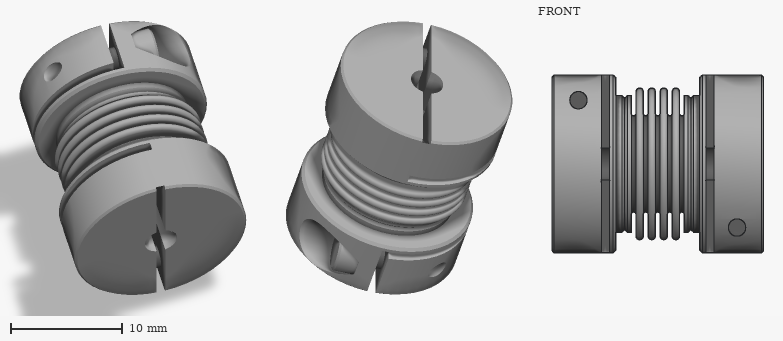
import cadquery as cq

length = 19.0
outer_radius = 8.0
bore_radius = 1.5
middle_x = length / 2
margin = 0.95

hub_length = 5.74
outer_chamfer = 0.19
inner_chamfer = 0.25
clamp_slot_width = 0.8
cross_slot_x = 4.43
cross_slot_width = 0.76
saw_radius = 19.95
saw_center_x = -14.14
saw_center_z = 5.78

screw_x = 2.38
screw_z = 5.72
head_radius = 1.94
head_chamfer = 0.2
head_seat_y = 2.0
head_end_y = 3.99
counterbore_radius = 2.17
shank_radius = 0.99
thread_radius = 0.78
screw_tip_y = -2.85

collar_radius = 6.15
groove_start_x = 6.27
groove_width = 0.51
groove_depth = 0.25
ridge_count = 4
ridge_pitch = 1.08
ridge_width = 0.66
ridge_radius = 6.82
root_radius = 4.33


def cylinder_along_y(radius, start_y, end_y):
    """Cylinder on the screw axis between two Y positions."""
    plane = cq.Plane(origin=(screw_x, start_y, screw_z), xDir=(1, 0, 0), normal=(0, 1, 0))
    return cq.Workplane(plane).circle(radius).extrude(end_y - start_y)


def clamp_slot():
    """Slot along the hub, cut by a round saw that leaves a web between the jaws."""
    half_width = clamp_slot_width / 2
    saw_disc = cq.Workplane("XZ").center(saw_center_x, saw_center_z).circle(saw_radius)
    saw = saw_disc.extrude(half_width, both=True)
    slot_length = cross_slot_x + cross_slot_width / 2
    size = 2 * (outer_radius + margin)
    limit = cq.Workplane("XY").box(size, size, size).translate((slot_length - size / 2, 0, 0))
    return saw.intersect(limit)


def cross_slot():
    """Slot that frees the -Y jaw from the hub's inner flange."""
    depth = outer_radius + margin + clamp_slot_width / 2
    height = 2 * (outer_radius + margin)
    return (
        cq.Workplane("XY")
        .box(cross_slot_width, depth, height, centered=(False, False, True))
        .translate((cross_slot_x, clamp_slot_width / 2 - depth, 0))
    )


def clamp_screw():
    """Cap screw seated in the +Y jaw and threaded into the -Y jaw."""
    head = cylinder_along_y(head_radius, head_seat_y, head_end_y).faces(">Y").chamfer(head_chamfer)
    shank = cylinder_along_y(shank_radius, -clamp_slot_width / 2, head_seat_y)
    thread = cylinder_along_y(thread_radius, screw_tip_y, -clamp_slot_width / 2)
    return head.union(shank).union(thread)


def clamp_hub():
    """Hub at the x = 0 end, with its screw in place."""
    hub = cq.Workplane("YZ").circle(outer_radius).extrude(hub_length)
    hub = hub.faces("<X").chamfer(outer_chamfer).faces(">X").chamfer(inner_chamfer)
    hub = hub.cut(cq.Workplane("YZ").circle(bore_radius).extrude(hub_length))
    hub = hub.cut(clamp_slot()).cut(cross_slot())
    hub = hub.cut(cylinder_along_y(counterbore_radius, head_seat_y, outer_radius + margin))
    hub = hub.cut(cylinder_along_y(thread_radius, -outer_radius - margin, 0))
    return hub.union(clamp_screw())


def bellows():
    """Revolved bellows between two grooved collars, bored through."""
    root_width = ridge_pitch - ridge_width
    root_round = root_width / 2
    ridge_round = ridge_width / 2
    collar_end_x = middle_x - (ridge_count * ridge_pitch + root_width) / 2
    groove_middle_x = groove_start_x + groove_width / 2
    groove_end_x = groove_start_x + groove_width
    groove_radius = collar_radius - groove_depth

    profile = (
        cq.Workplane("XY")
        .moveTo(hub_length, bore_radius)
        .lineTo(hub_length, collar_radius)
        .lineTo(groove_start_x, collar_radius)
        .lineTo(groove_middle_x, groove_radius)
        .lineTo(groove_end_x, collar_radius)
        .lineTo(collar_end_x, collar_radius)
    )
    for index in range(ridge_count + 1):
        root_x = collar_end_x + index * ridge_pitch
        ridge_x = root_x + root_width
        root = (root_x + root_round, root_radius)
        root_end = (ridge_x, root_radius + root_round)
        profile = profile.lineTo(root_x, root_radius + root_round).threePointArc(root, root_end)
        if index < ridge_count:
            crest = (ridge_x + ridge_round, ridge_radius)
            crest_end = (ridge_x + ridge_width, ridge_radius - ridge_round)
            profile = profile.lineTo(ridge_x, ridge_radius - ridge_round).threePointArc(crest, crest_end)
    return (
        profile.lineTo(length - collar_end_x, collar_radius)
        .lineTo(length - groove_end_x, collar_radius)
        .lineTo(length - groove_middle_x, groove_radius)
        .lineTo(length - groove_start_x, collar_radius)
        .lineTo(length - hub_length, collar_radius)
        .lineTo(length - hub_length, bore_radius)
        .close()
        .revolve(360, (0, 0, 0), (1, 0, 0))
    )


near_hub = clamp_hub()
far_hub = near_hub.rotate((middle_x, 0, 0), (middle_x, 1, 0), 180)
result = bellows().union(near_hub).union(far_hub)